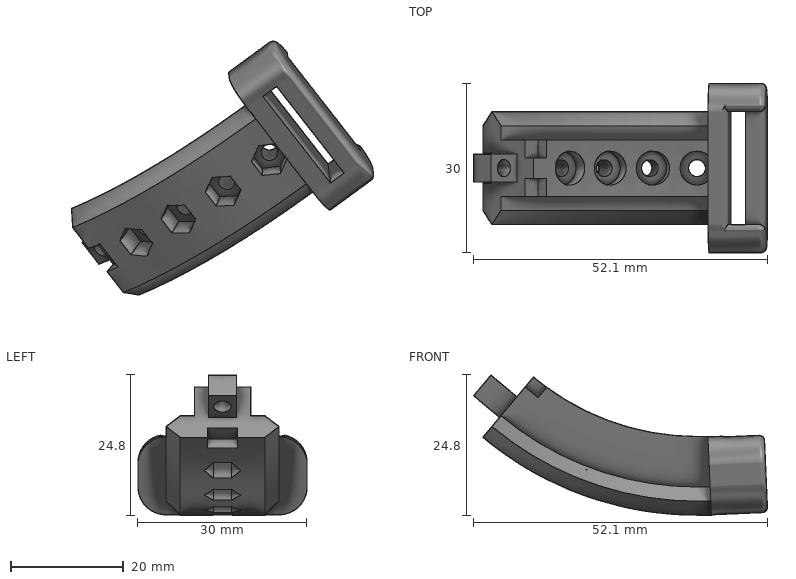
import cadquery as cq
import math

inner_radius = 45.05
arm_height = 13.95
base_height = 5.0
base_width = 20.0
base_chamfer = base_height / 2
stem_width = 10.0
arm_angle = 40
outer_radius = inner_radius + arm_height
base_top_radius = outer_radius - base_height

straight_length = 2.25

tab_width = 5.0
tab_height = 4.8
tab_length = 6.0
tab_hole_diameter = 3.0

base_notch_width = 5.3
base_notch_height = 2.2
base_notch_depth = 3.05
tongue_width = 3.65
side_notch_height = 2.3
side_notch_depth = 2.95

hole_count = 4
hole_pitch_angle = 10
hole_diameter = 2.95
bore_diameter = 6.0
bore_depth = 3.0
nut_across_corners = 6.4
nut_depth = 4.5

loop_tilt = 2.5
loop_length = 10.0
loop_width = 30.0
loop_height = 13.85
loop_corner_radius = 5.0
loop_edge_radius = 1.0
opening_width = loop_width - 2 * loop_corner_radius
front_wall = 3.5
bar_thickness = 3.5
bar_drop = 3.0

mid_radius = inner_radius + arm_height / 2

overlap = 1.05


def place(body, angle):
    """Turn a body from the bottom of the arc towards the free end."""
    return body.rotate((0, 0, 0), (0, 1, 0), angle)


def radial_box(length, width, r_low, r_high, y=0):
    """Box between two radii at the bottom of the arc, running from x = 0 along X by a signed length."""
    return (
        cq.Workplane("XY")
        .box(abs(length), width, r_high - r_low)
        .translate((length / 2, y, -(r_low + r_high) / 2))
    )


def tilt_loop(body):
    """Move a body from the loop's own frame (face centre at the origin) to the end of the arm."""
    return body.rotate((0, 0, 0), (0, 1, 0), -loop_tilt).translate((straight_length, 0, -mid_radius))


def arm_section():
    """T section at x = 0: a narrow stem on a base whose sides are chamfered to a point."""
    half_base = base_width / 2
    half_flat = half_base - base_chamfer
    half_stem = stem_width / 2
    right_side = [
        (half_stem, -inner_radius),
        (half_stem, -base_top_radius),
        (half_flat, -base_top_radius),
        (half_base, -base_top_radius - base_chamfer),
        (half_flat, -outer_radius),
    ]
    left_side = [(-y, z) for y, z in reversed(right_side)]
    return cq.Workplane("YZ").polyline(right_side + left_side).close()


def make_arm():
    curved = arm_section().revolve(arm_angle, (0, 0), (1, 0))
    straight = arm_section().extrude(straight_length + overlap)
    beyond_loop_face = tilt_loop(
        cq.Workplane("XY").box(loop_length, loop_width, 2 * arm_height).translate((loop_length / 2, 0, 0))
    )
    return curved.union(straight.cut(beyond_loop_face))


def strap_recess():
    """Cutter above the bar, in the loop's own frame, flaring out through rounded rims on three sides."""
    top = loop_height / 2
    floor = top - bar_drop
    above = top + overlap
    half_opening = opening_width / 2
    radius = loop_edge_radius

    along = (
        cq.Workplane("XZ")
        .moveTo(front_wall, floor)
        .lineTo(front_wall, top - radius)
        .radiusArc((front_wall - radius, top), -radius)
        .lineTo(front_wall - radius, above)
        .lineTo(loop_length + overlap, above)
        .lineTo(loop_length + overlap, floor)
        .close()
        .extrude(loop_width / 2, both=True)
    )

    corner_z = top - loop_corner_radius
    rim_z = corner_z + math.sqrt((loop_corner_radius - radius) ** 2 - radius**2)
    touch_scale = loop_corner_radius / (loop_corner_radius - radius)
    touch_y = half_opening + radius * touch_scale
    touch_z = corner_z + (rim_z - corner_z) * touch_scale
    across = (
        cq.Workplane("YZ")
        .moveTo(half_opening, floor)
        .lineTo(half_opening, rim_z)
        .radiusArc((touch_y, touch_z), radius)
        .lineTo(touch_y, above)
        .lineTo(-touch_y, above)
        .lineTo(-touch_y, touch_z)
        .radiusArc((-half_opening, rim_z), radius)
        .lineTo(-half_opening, floor)
        .close()
        .extrude(loop_length + overlap)
    )
    return along.intersect(across)


def make_loop():
    block = (
        cq.Workplane("YZ")
        .rect(loop_width, loop_height)
        .extrude(loop_length)
        .edges("|X")
        .fillet(loop_corner_radius)
        .cut(strap_recess())
    )
    block = block.faces(">X").edges().fillet(loop_edge_radius)
    slot_length = loop_length - bar_thickness - front_wall
    slot = cq.Workplane("XY").box(slot_length, opening_width, loop_height, centered=(False, True, True))
    return tilt_loop(block.cut(slot.translate((front_wall, 0, 0))))


def make_tab():
    r_low = mid_radius - tab_height / 2
    r_high = mid_radius + tab_height / 2
    tab = radial_box(-tab_length, tab_width, r_low, r_high)
    hole = (
        cq.Workplane("XY", origin=(-tab_length / 2, 0, -r_high))
        .circle(tab_hole_diameter / 2)
        .extrude(tab_height)
    )
    return place(tab.cut(hole), arm_angle)


def end_notches():
    base_notch_roof = outer_radius - base_notch_height
    notches = radial_box(base_notch_depth, base_notch_width, base_notch_roof, outer_radius + overlap)
    side_width = (stem_width - tongue_width) / 2
    side_notch_floor = inner_radius + side_notch_height
    side_y = (stem_width + tongue_width) / 4
    for y in (-side_y, side_y):
        side_notch = radial_box(side_notch_depth, side_width, inner_radius - overlap, side_notch_floor, y)
        notches = notches.union(side_notch)
    return place(notches, arm_angle)


def screw_hole():
    """Cutter for one hole at the bottom of the arc, nut pocket corners along Y."""
    bottom = cq.Workplane("XY", origin=(0, 0, -outer_radius - overlap))
    through = bottom.circle(hole_diameter / 2).extrude(arm_height + 2 * overlap)
    bore = (
        cq.Workplane("XY", origin=(0, 0, -inner_radius - bore_depth))
        .circle(bore_diameter / 2)
        .extrude(bore_depth + overlap)
    )
    nut = bottom.transformed(rotate=(0, 0, 90)).polygon(6, nut_across_corners).extrude(nut_depth + overlap)
    return through.union(bore).union(nut)


result = make_arm().cut(end_notches()).union(make_tab())
for i in range(hole_count):
    result = result.cut(place(screw_hole(), i * hole_pitch_angle))
result = result.union(make_loop())